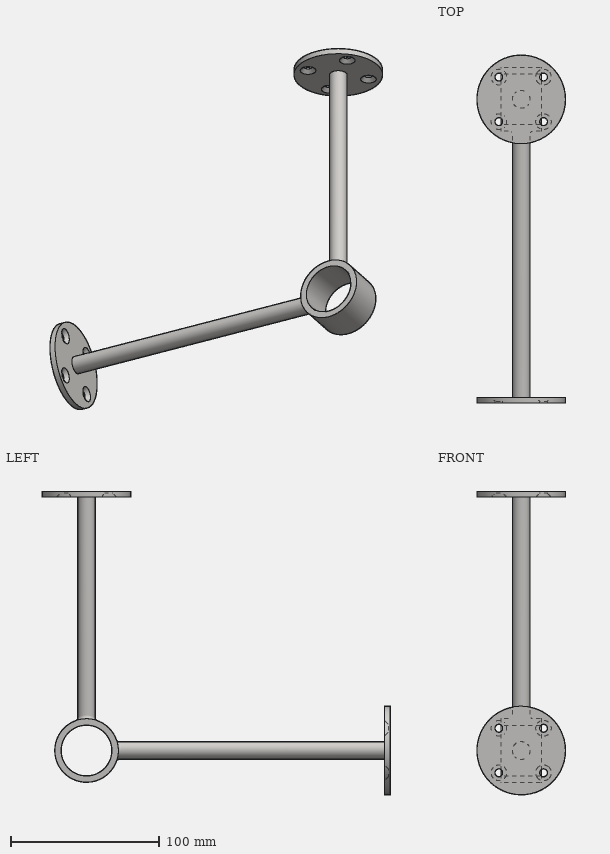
import cadquery as cq

OVERALL_Y = 235.0
OVERALL_Z = 205.0

RING_OUTER_D = 43.0
RING_INNER_D = 34.0
RING_LENGTH = 27.5

ROD_D = 12.0
WELD_RADIUS = 2.0

FLANGE_D = 60.0
FLANGE_THICKNESS = 4.0
SCREW_HOLE_D = 5.2
COUNTERSINK_D = 10.5
COUNTERSINK_ANGLE = 90
SCREW_SPACING = 30.0
SCREWS_PER_SIDE = 2

UPPER_REACH = OVERALL_Z - FLANGE_D / 2
FRONT_REACH = OVERALL_Y - FLANGE_D / 2


def turn_to_front(upright):
    """Turn a shape standing along +Z so that it points along -Y."""
    return upright.rotate((0, 0, 0), (1, 0, 0), 90)


def make_cylinder_along_x(diameter):
    """Cylinder as long as the ring, centred at the origin."""
    return cq.Workplane("YZ", origin=(-RING_LENGTH / 2, 0, 0)).circle(diameter / 2).extrude(RING_LENGTH)


def make_rod(reach):
    """Rod along +Z from the ring axis to the inner face of its flange."""
    return cq.Workplane("XY").circle(ROD_D / 2).extrude(reach - FLANGE_THICKNESS)


def make_flange(reach):
    """Flange facing +Z, with the countersinks on its inner face."""
    return (
        cq.Workplane("XY", origin=(0, 0, reach - FLANGE_THICKNESS))
        .circle(FLANGE_D / 2)
        .extrude(FLANGE_THICKNESS)
        .faces("<Z")
        .workplane()
        .rarray(SCREW_SPACING, SCREW_SPACING, SCREWS_PER_SIDE, SCREWS_PER_SIDE)
        .cskHole(SCREW_HOLE_D, COUNTERSINK_D, COUNTERSINK_ANGLE)
    )


def blend_joint(body, joint):
    """Fillet the edges where a rod meets the ring, around the point joint."""
    corner_low = tuple(c - ROD_D / 2 for c in joint)
    corner_high = tuple(c + ROD_D / 2 for c in joint)
    around_joint = cq.selectors.BoxSelector(corner_low, corner_high)
    return body.edges(around_joint).fillet(WELD_RADIUS)


def make_bracket():
    """Ring carrying an upward arm and a forward arm, each ending in a flange."""
    ring_radius = RING_OUTER_D / 2
    body = make_cylinder_along_x(RING_OUTER_D)
    body = body.union(make_rod(UPPER_REACH))
    body = body.union(turn_to_front(make_rod(FRONT_REACH)))

    for joint in [(0, 0, ring_radius), (0, -ring_radius, 0)]:
        body = blend_joint(body, joint)

    body = body.cut(make_cylinder_along_x(RING_INNER_D))
    body = body.union(make_flange(UPPER_REACH))
    return body.union(turn_to_front(make_flange(FRONT_REACH)))


bracket = make_bracket()
result = cq.Compound.makeCompound([bracket.solids().val()])